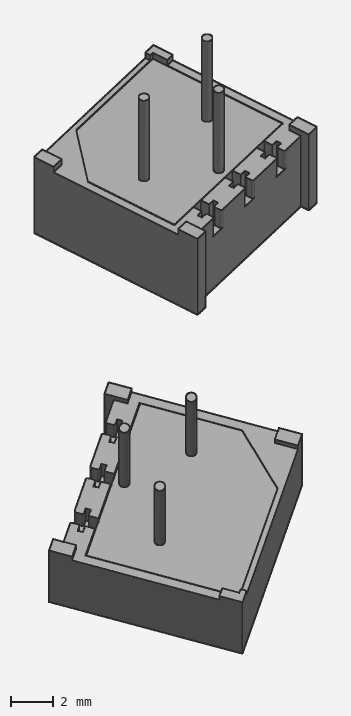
import cadquery as cq

side = 9.58
half = side / 2
overall_height = 9.79
post_height = 4.94
rim_height = 4.59

post_length = 1.15
post_width = 0.66
wall_setback = 0.46
wall_outer_x = half - wall_setback

rim_width_x = 0.29
rim_width_y = 0.45
pocket_x_min = rim_width_x - half
pocket_x_max = 3.12
pocket_y = half - rim_width_y
pocket_chamfer = 2.54
cover_drop = 0.04
cover_height = rim_height - cover_drop
cover_gap = 0.04

pin_pitch = 2.54
pin_diameter = 0.51
pin_places = [(0, pin_pitch), (pin_pitch, 0), (0, -pin_pitch)]

slot_width = 0.59
slot_depth = 1.17
notch_length = 1.27
notch_width = 0.25
notch_x = 3.74
edge_radius = 0.1


def block(x_min, x_max, y_min, y_max, z_min, z_max):
    """Axis-aligned box given by its limits."""
    return (
        cq.Workplane("XY")
        .box(x_max - x_min, y_max - y_min, z_max - z_min, centered=False)
        .translate((x_min, y_min, z_min))
    )


def make_body():
    """Block with a raised post at each corner and a set-back +X wall."""
    body = block(-half, half, -half, half, 0, rim_height)
    posts = (
        cq.Workplane("XY")
        .rect(side - post_length, side - post_width, forConstruction=True)
        .vertices()
        .rect(post_length, post_width)
        .extrude(post_height)
    )
    inner_y = half - post_width
    setback = block(wall_outer_x, half, -inner_y, inner_y, 0, post_height)
    return body.union(posts).cut(setback)


def make_pocket():
    """Space above the cover, open at the top, with the -X -Y corner cut off."""
    return (
        block(pocket_x_min, pocket_x_max, -pocket_y, pocket_y, cover_height, post_height)
        .edges("|Z and <X and <Y")
        .chamfer(pocket_chamfer)
    )


def make_cover_gap():
    """Narrow groove between the cover and the +X wall."""
    floor = rim_height - slot_depth
    return block(pocket_x_max - cover_gap, pocket_x_max, -pocket_y, pocket_y, floor, rim_height)


def make_slot(y):
    """Wire slot with rounded mouth, and a cross notch with rounded outer lips."""
    floor = rim_height - slot_depth
    slot_x = pocket_x_max - cover_gap
    notch_inner_x = notch_x - notch_width / 2
    notch_outer_x = notch_x + notch_width / 2
    half_slot = slot_width / 2
    outline = (
        cq.Workplane("XY", origin=(0, y, floor))
        .moveTo(slot_x, 0)
        .lineTo(slot_x, half_slot)
        .lineTo(notch_inner_x, half_slot)
        .lineTo(notch_inner_x, notch_length / 2)
        .lineTo(notch_outer_x, notch_length / 2)
        .lineTo(notch_outer_x, half_slot + edge_radius)
        .radiusArc((notch_outer_x + edge_radius, half_slot), -edge_radius)
        .lineTo(wall_outer_x - edge_radius, half_slot)
        .radiusArc((wall_outer_x, half_slot + edge_radius), -edge_radius)
        .lineTo(wall_outer_x, 0)
        .mirrorX()
    )
    return outline.extrude(slot_depth)


result = make_body().cut(make_pocket()).cut(make_cover_gap())
for slot_y in (-pin_pitch, 0, pin_pitch):
    result = result.cut(make_slot(slot_y))

pins = (
    cq.Workplane("XY")
    .pushPoints(pin_places)
    .circle(pin_diameter / 2)
    .extrude(overall_height)
)
result = result.union(pins)